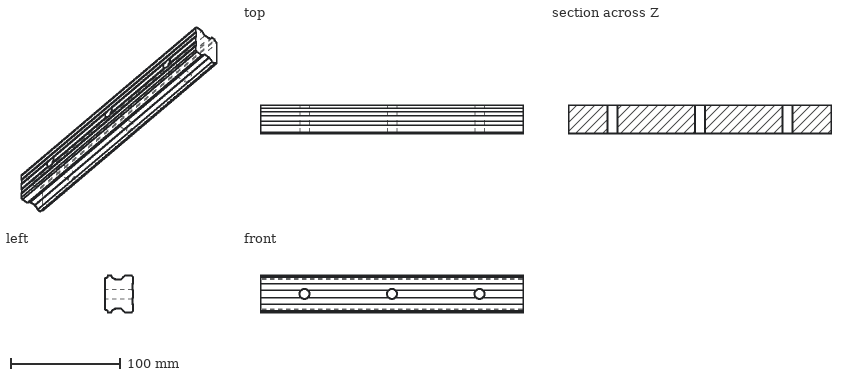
import cadquery as cq

LENGTH = 240.0
DEPTH = 26.0
HEIGHT = 34.0

FRONT_CHAMFER = 1.5
GROOVE_FRONT_Y = -5.5
GROOVE_DEPTH = 3.7
TRACK_START_Y = 3.5
GROOVE_BACK_Y = 7.0
TRACK_STEP = 0.6
TRACK_BULGE = 0.8
BACK_STEP_Y = 10.4
BACK_STEP_HEIGHT = 1.6
BACK_SLOPE_DROP = 1.2

CHANNEL_INNER_Z = 3.6
CHANNEL_OUTER_Z = 9.4
CHANNEL_DEPTH = 0.6

HOLE_DIAMETER = 9.0
HOLE_COUNT = 3
HOLE_PITCH = LENGTH / HOLE_COUNT

FRONT_Y = -DEPTH / 2
BACK_Y = DEPTH / 2
TOP_Z = HEIGHT / 2


def track_midpoint(start, end):
    """Middle point of the ball track, set TRACK_BULGE inside the chord towards the rail's core."""
    chord = cq.Vector(end[0] - start[0], end[1] - start[1], 0)
    inward = cq.Vector(chord.y, -chord.x, 0).normalized() * TRACK_BULGE
    return (
        (start[0] + end[0]) / 2 + inward.x,
        (start[1] + end[1]) / 2 + inward.y,
    )


def upper_half():
    """Upper half of the cross-section, extruded along the full length."""
    floor_z = TOP_Z - GROOVE_DEPTH
    shoulder_z = TOP_Z - BACK_STEP_HEIGHT
    track_start = (TRACK_START_Y, floor_z + TRACK_STEP)
    track_end = (GROOVE_BACK_Y, TOP_Z)
    return (
        cq.Workplane("YZ", origin=(-LENGTH / 2, 0, 0))
        .moveTo(FRONT_Y, 0)
        .lineTo(FRONT_Y, TOP_Z - FRONT_CHAMFER)
        .lineTo(FRONT_Y + FRONT_CHAMFER, TOP_Z)
        .lineTo(GROOVE_FRONT_Y, TOP_Z)
        .lineTo(GROOVE_FRONT_Y + GROOVE_DEPTH, floor_z)
        .lineTo(TRACK_START_Y, floor_z)
        .lineTo(*track_start)
        .threePointArc(track_midpoint(track_start, track_end), track_end)
        .lineTo(BACK_STEP_Y, TOP_Z)
        .lineTo(BACK_STEP_Y, shoulder_z)
        .lineTo(BACK_Y, shoulder_z - BACK_SLOPE_DROP)
        .lineTo(BACK_Y, 0)
        .close()
        .extrude(LENGTH)
    )


def front_channels():
    """Two full-length shallow channels, mirrored about Z = 0, to cut from the front face."""
    channel_height = CHANNEL_OUTER_Z - CHANNEL_INNER_Z
    upper_channel = (
        cq.Workplane("XY")
        .box(LENGTH, CHANNEL_DEPTH, channel_height)
        .translate((0, FRONT_Y + CHANNEL_DEPTH / 2, (CHANNEL_INNER_Z + CHANNEL_OUTER_Z) / 2))
    )
    return upper_channel.union(upper_channel.mirror("XY"))


def mounting_holes():
    """Evenly pitched cylinders through the full depth, to cut from the rail."""
    return (
        cq.Workplane("XZ", origin=(0, BACK_Y, 0))
        .rarray(HOLE_PITCH, 1, HOLE_COUNT, 1)
        .circle(HOLE_DIAMETER / 2)
        .extrude(DEPTH)
    )


half = upper_half()
rail = half.union(half.mirror("XY")).clean()
result = rail.cut(front_channels()).cut(mounting_holes())